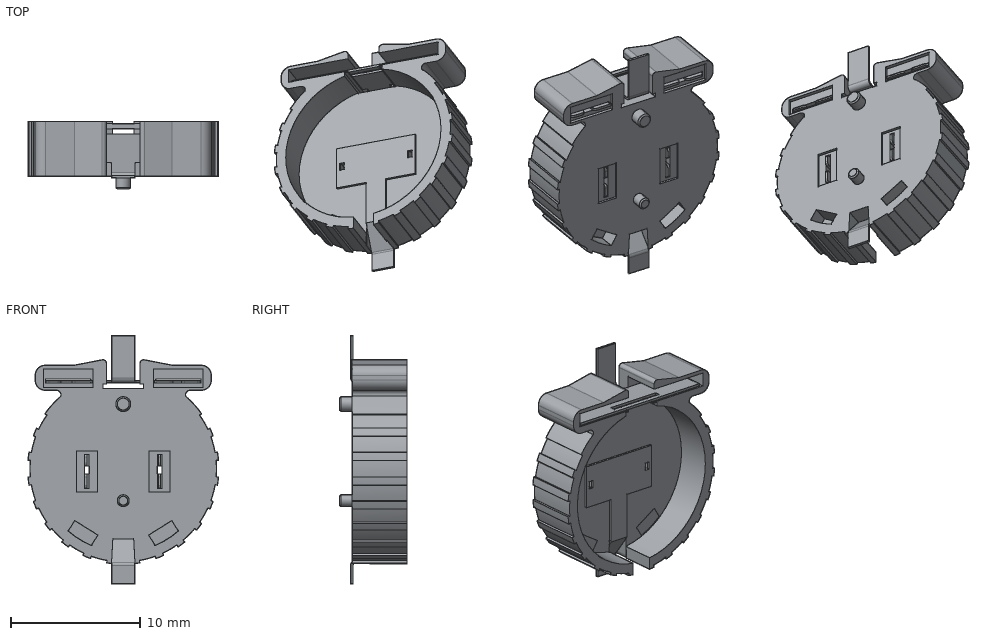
import cadquery as cq
import math


depth = 4.26
root_radius = 7.22
tooth_height = 0.18
rim_radius = root_radius + tooth_height
tooth_count = 24
tooth_pitch = 360 / tooth_count
tooth_span = 5.0
plain_rim_start = 35.0
cavity_radius = 6.43
floor_thickness = 1.38
drain_half_width = 0.83

neck_half_width = 4.84
neck_fillet = 0.35
arm_half_width = 6.82
arm_bottom = 6.05
arm_top = 8.0
arm_end_radius = 0.8
ramp_start = 3.78
ramp_peak = 8.49
ramp_fillet = 0.29
gap_half_width = 1.29
gap_step = 6.53
gap_foot_half_width = 1.55
gap_bottom = 6.2

arm_pocket_depth = 0.27
arm_pocket_x = (2.35, 6.18)
arm_pocket_z = (6.28, 7.72)
arm_slot_x = (2.52, 6.0)
floor_pocket_depth = 0.2
floor_pocket_x = (1.98, 3.63)
floor_pocket_z = (-1.79, 1.36)
floor_slot_x = (2.63, 3.0)
floor_slot_z = (-1.54, 1.11)
key_pocket_angle = 58.0
key_pocket_inner = 5.4
key_pocket_width = 2.11
key_pocket_depth = 1.3

peg_length = 0.98
peg_chamfer = 0.12
upper_peg_z, upper_peg_radius = 5.0, 0.58
lower_peg_z, lower_peg_radius = -2.48, 0.46

sheet = 0.2
tab_half_width = 0.9
tab_front = -0.12
bend_radius = 0.4
spring_finger_front = 0.08
plate_finger_front = 0.04
finger_round = 0.23

spring_bottom = 6.62
spring_top = spring_bottom + sheet
spring_half_width = 6.0
spring_front = 1.08
spring_back = 4.09
spring_fillet = 0.12
arm_slot_height = 0.3
slit_y = (3.28, 3.69)
slit_half_width = 2.25
outer_fingers = ((-6.0, -4.82), (4.51, 6.0))
inner_finger_ends = (-3.97, 3.85)
barb_reach = 2.4
upper_tab_end = 10.3

overall_height = 19.2
lower_tab_end = upper_tab_end - overall_height
plate_half_width = 3.26
plate_z = (-1.92, 1.54)
plate_fingers_z = ((-1.54, -0.4), (0.2, 1.11))
plate_fingers_x = (-3.0, 2.7)
tail_top = -5.43
tail_top_half_width = 0.8
tail_foot = -7.2


def box(x, y, z):
    """A block between the given (low, high) limits."""
    size = (x[1] - x[0], y[1] - y[0], z[1] - z[0])
    return cq.Workplane("XY").box(*size, centered=False).translate((x[0], y[0], z[0]))


def around(y, z):
    """Selects the edge along X whose middle is nearest to the given place."""
    return cq.NearestToPointSelector((0, y, z))


def mirrored(solid):
    """The solid together with its mirror image across X = 0."""
    return solid.union(solid.mirror("YZ"))


def front_sketch(y=0.0):
    """A workplane with X right and Z up; extruding by a negative length goes toward +Y."""
    return cq.Workplane("XZ", origin=(0, y, 0))


def rim_sector(start, end):
    """A full-depth wedge of the rim, between two angles in degrees."""
    def point(angle):
        return (rim_radius * math.cos(math.radians(angle)), rim_radius * math.sin(math.radians(angle)))

    outline = front_sketch().lineTo(*point(start)).threePointArc(point((start + end) / 2), point(end))
    return outline.close().extrude(-depth)


def toothed_disc():
    disc = front_sketch().circle(root_radius).extrude(-depth)
    disc = disc.union(rim_sector(plain_rim_start, 180 - plain_rim_start))
    for index in range(tooth_count):
        middle = (index + 0.5) * tooth_pitch
        if plain_rim_start < middle < 180 - plain_rim_start:
            continue
        disc = disc.union(rim_sector(middle - tooth_span / 2, middle + tooth_span / 2))
    return disc


def head():
    """The neck and both grip arms, before the gap between the arms is cut."""
    rim_height_at_neck = math.sqrt(rim_radius**2 - neck_half_width**2)
    half = (
        front_sketch()
        .lineTo(neck_half_width, 0)
        .lineTo(neck_half_width, rim_height_at_neck)
        .radiusArc((neck_half_width + neck_fillet, arm_bottom), neck_fillet)
        .lineTo(arm_half_width - arm_end_radius, arm_bottom)
        .radiusArc((arm_half_width, arm_bottom + arm_end_radius), -arm_end_radius)
        .lineTo(arm_half_width, arm_top - arm_end_radius)
        .radiusArc((arm_half_width - arm_end_radius, arm_top), -arm_end_radius)
        .lineTo(ramp_start, arm_top)
        .lineTo(gap_half_width, ramp_peak)
        .lineTo(gap_half_width, gap_step)
        .lineTo(0, gap_step)
        .close()
        .extrude(-depth)
    )
    peak = cq.NearestToPointSelector((gap_half_width, depth / 2, ramp_peak))
    return mirrored(half.edges(peak).fillet(ramp_fillet))


def arm_gap():
    through = (0, depth)
    upper = box((-gap_half_width, gap_half_width), through, (gap_step, ramp_peak))
    foot = box((-gap_foot_half_width, gap_foot_half_width), through, (gap_bottom, gap_step))
    return upper.union(foot)


def arm_recess():
    """The front pocket of the right arm, the slot behind it and the chamber for the spring contact."""
    slot_z = (spring_bottom, spring_bottom + arm_slot_height)
    pocket = box(arm_pocket_x, (0, arm_pocket_depth), arm_pocket_z)
    front_slot = box(arm_slot_x, (0, spring_front), slot_z)
    chamber = box((0, arm_pocket_x[1]), (spring_front, depth), (spring_bottom, arm_pocket_z[1]))
    return pocket.union(front_slot).union(chamber)


def floor_recess():
    """The right front pocket and its slot for the fingers of the plate contact."""
    pocket = box(floor_pocket_x, (0, floor_pocket_depth), floor_pocket_z)
    return pocket.union(box(floor_slot_x, (0, floor_thickness), floor_slot_z))


def key_pocket():
    """The right slanted blind pocket, with its outer wall concentric with the disc."""
    half = key_pocket_width / 2
    corner = math.sqrt(cavity_radius**2 - half**2)
    pocket = (
        front_sketch()
        .moveTo(key_pocket_inner, -half)
        .lineTo(corner, -half)
        .threePointArc((cavity_radius, 0), (corner, half))
        .lineTo(key_pocket_inner, half)
        .close()
        .extrude(-key_pocket_depth)
    )
    return pocket.rotate((0, 0, 0), (0, 1, 0), key_pocket_angle)


def tail_outline():
    """The tapered outline shared by the tail of the plate contact and its notch."""
    return front_sketch().polyline([
        (-tail_top_half_width, tail_top),
        (-tab_half_width, tail_foot),
        (-tab_half_width, lower_tab_end),
        (tab_half_width, lower_tab_end),
        (tab_half_width, tail_foot),
        (tail_top_half_width, tail_top),
    ]).close()


def peg(z, radius):
    return (
        cq.Workplane("XZ", origin=(0, 0, z))
        .circle(radius)
        .extrude(peg_length)
        .faces("<Y")
        .chamfer(peg_chamfer)
    )


def make_housing():
    body = toothed_disc().union(head()).cut(arm_gap())
    body = body.cut(front_sketch(floor_thickness).circle(cavity_radius).extrude(floor_thickness - depth))
    drain = box((-drain_half_width, drain_half_width), (floor_thickness, depth), (-rim_radius, 0))
    body = body.cut(drain)
    for recess in (arm_recess(), floor_recess(), key_pocket()):
        body = body.cut(mirrored(recess))
    body = body.cut(tail_outline().extrude(-floor_thickness))
    body = body.union(peg(upper_peg_z, upper_peg_radius))
    return body.union(peg(lower_peg_z, lower_peg_radius))


def inner_finger(end, level):
    """A spring finger reaching from its slot's inner end to the given X, hooked at the inner end."""
    side = math.copysign(1, end)
    root = side * arm_slot_x[0]
    hook = side * barb_reach
    finger = box(sorted((root, end)), (spring_finger_front, spring_front), level)
    corner = cq.NearestToPointSelector((end, spring_finger_front, spring_bottom + sheet / 2))
    finger = finger.edges(corner).fillet(finger_round)
    return finger.union(box(sorted((hook, root)), (spring_finger_front, arm_pocket_depth), level))


def make_spring_contact():
    """The contact above the cell: a slit flat spring whose neck bends up into a solder tab."""
    level = (spring_bottom, spring_top)
    neck = box((-tab_half_width, tab_half_width), (tab_front, spring_front), level)
    tab_y = (tab_front, tab_front + sheet)
    tab = box((-tab_half_width, tab_half_width), tab_y, (spring_bottom, upper_tab_end))
    bent = neck.union(tab).edges(around(tab_front, spring_bottom)).fillet(bend_radius)
    bent = bent.edges(around(tab_front + sheet, spring_top)).fillet(bend_radius - sheet)
    leaf = box((-spring_half_width, spring_half_width), (spring_front, spring_back), level)
    leaf = leaf.cut(box((-slit_half_width, slit_half_width), slit_y, level))
    contact = bent.union(leaf)
    for side in (-1, 1):
        corner = cq.NearestToPointSelector((side * tab_half_width, spring_front, spring_bottom + sheet / 2))
        contact = contact.edges(corner).fillet(spring_fillet)
    for span in outer_fingers:
        finger = box(span, (spring_finger_front, spring_front), level)
        contact = contact.union(finger.edges("|Z and <Y").fillet(finger_round))
    for end in inner_finger_ends:
        contact = contact.union(inner_finger(end, level))
    return contact


def tail_strip():
    """The bent strip from the plate down to the lower solder tab."""
    plate_back = floor_thickness + sheet
    slope = math.atan2(floor_thickness, tail_top - tail_foot)
    drop = sheet * math.tan(slope / 2)
    bend_z = tail_top - (floor_thickness - tab_front) / math.tan(slope)
    profile = cq.Workplane("YZ").polyline([
        (floor_thickness, tail_top),
        (tab_front, bend_z),
        (tab_front, lower_tab_end),
        (tab_front + sheet, lower_tab_end),
        (tab_front + sheet, bend_z - drop),
        (plate_back, tail_top - drop),
        (plate_back, tail_top),
    ]).close()
    strip = profile.extrude(plate_half_width, both=True)
    strip = strip.edges(around(tab_front, bend_z)).fillet(bend_radius)
    strip = strip.edges(around(tab_front + sheet, bend_z - drop)).fillet(bend_radius - sheet)
    reach = floor_thickness + sheet - tab_front
    return strip.intersect(tail_outline().extrude(-reach).translate((0, tab_front, 0)))


def make_plate_contact():
    """The contact under the cell: a flat plate, four fingers through the floor and a tail."""
    level = (floor_thickness, floor_thickness + sheet)
    window_z = (plate_fingers_z[0][1], plate_fingers_z[1][0])
    contact = box((-plate_half_width, plate_half_width), level, plate_z)
    contact = contact.cut(mirrored(box(floor_slot_x, level, window_z)))
    stem = box((-tail_top_half_width, tail_top_half_width), level, (tail_top, plate_z[0]))
    contact = contact.union(stem).union(tail_strip())
    for x in plate_fingers_x:
        for span in plate_fingers_z:
            finger = box((x, x + sheet), (plate_finger_front, floor_thickness), span)
            contact = contact.union(finger.edges("|X and <Y").fillet(finger_round))
    return contact


housing = make_housing()
spring_contact = make_spring_contact()
plate_contact = make_plate_contact()
result = cq.Compound.makeCompound([housing.val(), spring_contact.val(), plate_contact.val()])